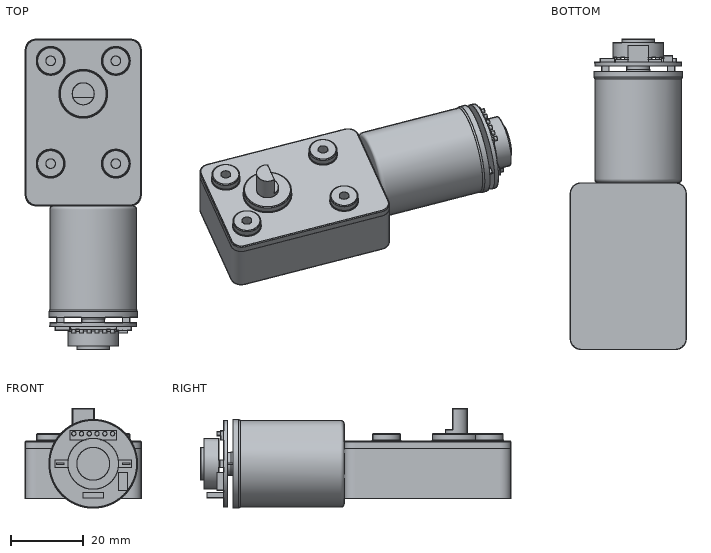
import cadquery as cq


TOTAL_LENGTH = 85.6

GEARBOX_WIDTH = 32.0
GEARBOX_LENGTH = 46.0
GEARBOX_CORNER_RADIUS = 3.0
HOUSING_BOTTOM_Z = -9.6
LID_BOTTOM_Z = 4.3
LID_TOP_Z = 6.3
EDGE_CHAMFER = 0.25

BOSS_TOP_Z = 8.4
BOSS_DIAMETER = 7.7
BOSS_CHAMFER = 0.25
BOSS_FLARE_WIDTH = 0.13
BOSS_FLARE_HEIGHT = 0.25
BOSS_SPACING_X = 18.0
BOSS_SPACING_Y = 28.3
FRONT_BOSS_Y = 11.6
SCREW_HOLE_DIAMETER = 2.65
HUB_DIAMETER = 13.2

SHAFT_DIAMETER = 6.1
SHAFT_Y = 30.9
SHAFT_TOP_Z = 15.2
FLAT_BOTTOM_Z = 9.4
FLAT_OFFSET = 1.0

MOTOR_X = 2.7
CAN_DIAMETER = 24.0
CAN_END_FILLET = 1.0
FLANGE_DIAMETER = 24.5
FLANGE_START = 28.7
FLANGE_END = 30.7
FLANGE_CHAMFER = 0.5
COLLAR_DIAMETER = 6.6
COLLAR_END = 31.25
NECK_DIAMETER = 6.3
ROTOR_SHAFT_DIAMETER = 2.0

BOARD_DIAMETER = 24.0
BOARD_START = 32.2
BOARD_END = 33.3

SOLDER_PAD_INNER_X = 6.4
SOLDER_PAD_OUTER_X = 10.5
SOLDER_PAD_HEIGHT = 2.1
SOLDER_PAD_END = 34.3

HEADER_WIDTH = 12.75
HEADER_BOTTOM_Z = 6.5
HEADER_TOP_Z = 9.2
HEADER_END = 34.1
PIN_COUNT = 6
PIN_PITCH = 2.1
PIN_DIAMETER = 1.2
PIN_Z = 8.3
PIN_END = 35.1

CHIP_LEFT_X = 7.0
CHIP_RIGHT_X = 9.5
CHIP_BOTTOM_Z = -7.4
CHIP_TOP_Z = -2.4
CHIP_END = 35.1

SENSOR_WIDTH = 5.6
SENSOR_BOTTOM_Z = -9.4
SENSOR_TOP_Z = -7.9
SENSOR_END = 37.9

TERMINAL_CENTRE_X = 9.1
TERMINAL_WIDTH = 2.05
TERMINAL_THICKNESS = 0.5

DISC_DIAMETER = 14.0
DISC_START = 34.6
DISC_END = 38.7
DISC_CAP_DIAMETER = 9.1
DISC_CAP_END = TOTAL_LENGTH - GEARBOX_LENGTH

BOSS_CENTRES = [
    (side * BOSS_SPACING_X / 2, y)
    for side in (-1, 1)
    for y in (FRONT_BOSS_Y, FRONT_BOSS_Y + BOSS_SPACING_Y)
]


def gearbox_slab(bottom_z, top_z):
    """Rounded rectangular slab with the gearbox outline."""
    return (
        cq.Workplane("XY", origin=(0, GEARBOX_LENGTH / 2, bottom_z))
        .rect(GEARBOX_WIDTH, GEARBOX_LENGTH)
        .extrude(top_z - bottom_z)
        .edges("|Z")
        .fillet(GEARBOX_CORNER_RADIUS)
    )


def upright_cylinder(x, y, diameter, bottom_z, top_z):
    """Cylinder along Z between two heights."""
    return cq.Workplane("XY", origin=(x, y, bottom_z)).circle(diameter / 2).extrude(top_z - bottom_z)


def motor_cylinder(diameter, start, end, x=0.0, z=0.0):
    """Cylinder along -Y between two depths; x and z are measured from the motor axis."""
    return (
        cq.Workplane("XZ", origin=(MOTOR_X + x, -start, z))
        .circle(diameter / 2)
        .extrude(end - start)
    )


def motor_box(x_range, z_range, start, end):
    """Box between two depths; its x and z ranges are measured from the motor axis."""
    width = x_range[1] - x_range[0]
    height = z_range[1] - z_range[0]
    corner = (MOTOR_X + x_range[0], -end, z_range[0])
    return cq.Workplane("XY", origin=corner).box(width, end - start, height, centered=False)


def make_housing():
    return gearbox_slab(HOUSING_BOTTOM_Z, LID_BOTTOM_Z)


def lid_boss(x, y, diameter):
    """Raised round boss with a chamfered rim and a slightly flared foot."""
    boss = upright_cylinder(x, y, diameter, LID_TOP_Z, BOSS_TOP_Z)
    foot_diameter = diameter + 2 * BOSS_FLARE_WIDTH
    foot = (
        cq.Workplane("XY", origin=(x, y, LID_TOP_Z))
        .circle(foot_diameter / 2)
        .workplane(offset=BOSS_FLARE_HEIGHT)
        .circle(diameter / 2)
        .loft(ruled=True)
    )
    return boss.faces(">Z").chamfer(BOSS_CHAMFER).union(foot)


def make_lid():
    lid = gearbox_slab(LID_BOTTOM_Z, LID_TOP_Z).faces(">Z").chamfer(EDGE_CHAMFER)
    lid = lid.union(lid_boss(0, SHAFT_Y, HUB_DIAMETER))
    for x, y in BOSS_CENTRES:
        lid = lid.union(lid_boss(x, y, BOSS_DIAMETER))
    for x, y in BOSS_CENTRES:
        lid = lid.cut(upright_cylinder(x, y, SCREW_HOLE_DIAMETER, LID_BOTTOM_Z, BOSS_TOP_Z))
    return lid.cut(upright_cylinder(0, SHAFT_Y, SHAFT_DIAMETER, LID_BOTTOM_Z, BOSS_TOP_Z))


def make_output_shaft():
    """D-shaped shaft, round where it passes through the lid."""
    shaft = upright_cylinder(0, SHAFT_Y, SHAFT_DIAMETER, LID_BOTTOM_Z, SHAFT_TOP_Z)
    flat_corner = (-SHAFT_DIAMETER / 2, SHAFT_Y - SHAFT_DIAMETER, FLAT_BOTTOM_Z)
    flat_cut = cq.Workplane("XY", origin=flat_corner).box(
        SHAFT_DIAMETER, SHAFT_DIAMETER - FLAT_OFFSET, SHAFT_TOP_Z - FLAT_BOTTOM_Z, centered=False
    )
    return shaft.cut(flat_cut)


def make_motor():
    """Can, rear flange, stepped neck and the rotor shaft that carries the disc."""
    can = motor_cylinder(CAN_DIAMETER, 0, FLANGE_END).faces(">Y").edges().fillet(CAN_END_FILLET)
    flange_step = (FLANGE_DIAMETER - CAN_DIAMETER) / 2
    flange = (
        motor_cylinder(FLANGE_DIAMETER, FLANGE_START, FLANGE_END)
        .faces(">Y")
        .chamfer(FLANGE_CHAMFER, flange_step)
    )
    return (
        can.union(flange)
        .union(motor_cylinder(COLLAR_DIAMETER, FLANGE_END, COLLAR_END))
        .union(motor_cylinder(NECK_DIAMETER, COLLAR_END, BOARD_START))
        .union(motor_cylinder(ROTOR_SHAFT_DIAMETER, BOARD_START, DISC_END))
    )


def make_terminal(side):
    """Flat blade from the motor flange to the outer face of its solder pad."""
    centre_x = side * TERMINAL_CENTRE_X
    return motor_box(
        (centre_x - TERMINAL_WIDTH / 2, centre_x + TERMINAL_WIDTH / 2),
        (-TERMINAL_THICKNESS / 2, TERMINAL_THICKNESS / 2),
        FLANGE_END,
        SOLDER_PAD_END,
    )


def add_solder_pads(board):
    for side in (-1, 1):
        x_range = sorted((side * SOLDER_PAD_INNER_X, side * SOLDER_PAD_OUTER_X))
        z_range = (-SOLDER_PAD_HEIGHT / 2, SOLDER_PAD_HEIGHT / 2)
        board = board.union(motor_box(x_range, z_range, BOARD_END, SOLDER_PAD_END))
    return board


def add_header(board):
    """Header strip with a row of short round pins."""
    x_range = (-HEADER_WIDTH / 2, HEADER_WIDTH / 2)
    z_range = (HEADER_BOTTOM_Z, HEADER_TOP_Z)
    board = board.union(motor_box(x_range, z_range, BOARD_END, HEADER_END))
    for index in range(PIN_COUNT):
        pin_x = (index - (PIN_COUNT - 1) / 2) * PIN_PITCH
        board = board.union(motor_cylinder(PIN_DIAMETER, HEADER_END, PIN_END, pin_x, PIN_Z))
    return board


def make_board(terminals):
    """Round circuit board with its components, slotted for the motor terminals."""
    board = motor_cylinder(BOARD_DIAMETER, BOARD_START, BOARD_END)
    board = add_header(add_solder_pads(board))
    chip = motor_box((CHIP_LEFT_X, CHIP_RIGHT_X), (CHIP_BOTTOM_Z, CHIP_TOP_Z), BOARD_END, CHIP_END)
    sensor = motor_box(
        (-SENSOR_WIDTH / 2, SENSOR_WIDTH / 2), (SENSOR_BOTTOM_Z, SENSOR_TOP_Z), BOARD_END, SENSOR_END
    )
    board = board.union(chip).union(sensor)
    board = board.cut(motor_cylinder(ROTOR_SHAFT_DIAMETER, BOARD_START, BOARD_END))
    for terminal in terminals:
        board = board.cut(terminal)
    return board


def make_disc():
    """Encoder disc with a raised round cap, bored for the rotor shaft."""
    disc = motor_cylinder(DISC_DIAMETER, DISC_START, DISC_END)
    disc = disc.union(motor_cylinder(DISC_CAP_DIAMETER, DISC_END, DISC_CAP_END))
    return disc.cut(motor_cylinder(ROTOR_SHAFT_DIAMETER, DISC_START, DISC_END))


housing = make_housing()
lid = make_lid()
output_shaft = make_output_shaft()
motor = make_motor()
terminals = [make_terminal(side) for side in (-1, 1)]
board = make_board(terminals)
disc = make_disc()

result = cq.Compound.makeCompound(
    [
        housing.val(),
        lid.val(),
        output_shaft.val(),
        motor.val(),
        *[terminal.val() for terminal in terminals],
        board.val(),
        disc.val(),
    ]
)